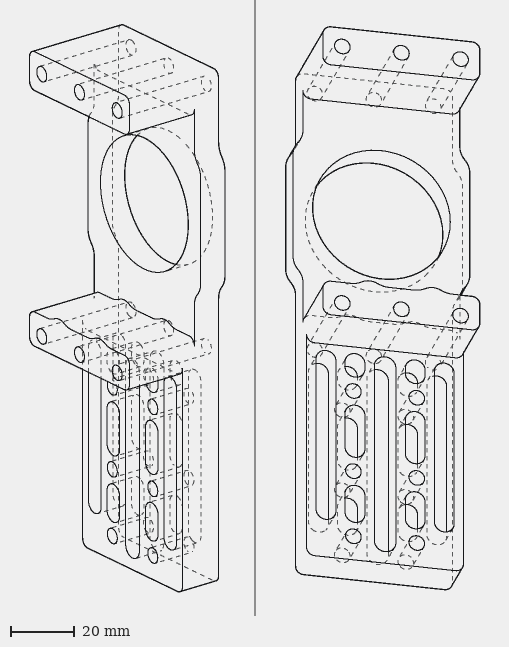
import cadquery as cq
import math

height = 173.6
body_width = 50.7
wing_width = 57.1
depth = 35.6
plate_thickness = 9.7
base_thickness = 14.4
corner_radius = 2.6

upper_arm_bottom = 160.5
lower_arm_bottom = 73.8
lower_arm_top = 85.5
bump_height = 1.5
bump_radius = 5.2
bump_blend_radius = 7.8

bore_diameter = 44.5
bore_z = 123.0
wing_flat_length = 35.5
wing_blend_length = 8.7

hole_diameter = 5.0
arm_hole_pitch = 19.1
upper_hole_z = 167.2
lower_hole_z = 78.3
base_hole_offset = 10.2
base_hole_heights = (8.2, 30.7, 58.5)

slot_depth = 9.7
slot_top = 71.5
slot_hole_gap = 4.9
slot_width = 6.5
outer_slot_offset = 19.1
outer_slot_bottom = base_hole_heights[0] + slot_hole_gap
center_slot_width = 7.0
center_slot_bottom = 4.0
short_slot_offset = 9.7
short_slot_bottoms = [z + slot_hole_gap for z in base_hole_heights]
short_slot_tops = [z - slot_hole_gap for z in base_hole_heights[1:]] + [slot_top]


def block(width, bottom, top, thickness):
    """Block standing on the back face, centered on X = 0, with its front at Y = -thickness."""
    return (
        cq.Workplane("XZ")
        .center(0, (bottom + top) / 2)
        .rect(width, top - bottom)
        .extrude(thickness)
    )


def wings():
    """Wide stretch around the bore, blended into the plate sides by S-curves of two equal arcs."""
    step = (wing_width - body_width) / 2
    half_blend = wing_blend_length / 2
    radius = (half_blend**2 + (step / 2) ** 2) / step
    inner_x = body_width / 2
    middle_x = inner_x + step / 2
    outer_x = wing_width / 2
    flat_z = wing_flat_length / 2
    middle_z = flat_z + half_blend
    end_z = flat_z + wing_blend_length
    return (
        cq.Workplane("XZ", origin=(0, 0, bore_z))
        .moveTo(-inner_x, end_z)
        .lineTo(inner_x, end_z)
        .radiusArc((middle_x, middle_z), -radius)
        .radiusArc((outer_x, flat_z), radius)
        .lineTo(outer_x, -flat_z)
        .radiusArc((middle_x, -middle_z), radius)
        .radiusArc((inner_x, -end_z), -radius)
        .lineTo(-inner_x, -end_z)
        .radiusArc((-middle_x, -middle_z), -radius)
        .radiusArc((-outer_x, -flat_z), radius)
        .lineTo(-outer_x, flat_z)
        .radiusArc((-middle_x, middle_z), radius)
        .radiusArc((-inner_x, end_z), -radius)
        .close()
        .extrude(plate_thickness)
    )


def bump(x):
    """Ridge on the lower arm: a convex crown with a concave blend on each side."""
    center_to_blend = bump_radius + bump_blend_radius
    rise = bump_height - bump_radius
    half_span = math.sqrt(center_to_blend**2 - (bump_blend_radius - rise) ** 2)
    touch_x = half_span * bump_radius / center_to_blend
    touch_z = rise + (bump_blend_radius - rise) * bump_radius / center_to_blend
    return (
        cq.Workplane("XZ", origin=(x, -plate_thickness, lower_arm_top))
        .moveTo(-half_span, 0)
        .radiusArc((-touch_x, touch_z), -bump_blend_radius)
        .radiusArc((touch_x, touch_z), bump_radius)
        .radiusArc((half_span, 0), -bump_blend_radius)
        .close()
        .extrude(depth - plate_thickness)
    )


def holes(points):
    """Screw holes along Y through the whole depth."""
    return cq.Workplane("XZ").pushPoints(points).circle(hole_diameter / 2).extrude(depth)


def slot(x, bottom, top, width):
    """Round-ended vertical slot sunk into the front face of the base."""
    return (
        cq.Workplane("XZ", origin=(x, slot_depth - base_thickness, (bottom + top) / 2))
        .slot2D(top - bottom, width, 90)
        .extrude(slot_depth)
    )


plate = block(body_width, 0, height, plate_thickness).edges("|Y").fillet(corner_radius)
base = block(body_width, 0, lower_arm_top - corner_radius, base_thickness)
base = base.edges("|Y and <Z").fillet(corner_radius)
upper_arm = block(body_width, upper_arm_bottom, height, depth).edges("|Y").fillet(corner_radius)
lower_arm = block(body_width, lower_arm_bottom, lower_arm_top, depth).edges("|Y").fillet(corner_radius)
result = plate.union(base).union(upper_arm).union(lower_arm).union(wings())

for side in (-1, 1):
    result = result.union(bump(side * base_hole_offset))

bore = cq.Workplane("XZ", origin=(0, 0, bore_z)).circle(bore_diameter / 2).extrude(depth)
result = result.cut(bore)

arm_points = [
    (column * arm_hole_pitch, z) for column in (-1, 0, 1) for z in (upper_hole_z, lower_hole_z)
]
base_points = [(side * base_hole_offset, z) for side in (-1, 1) for z in base_hole_heights]
result = result.cut(holes(arm_points + base_points))

result = result.cut(slot(0, center_slot_bottom, slot_top, center_slot_width))
for side in (-1, 1):
    result = result.cut(slot(side * outer_slot_offset, outer_slot_bottom, slot_top, slot_width))
    for bottom, top in zip(short_slot_bottoms, short_slot_tops):
        result = result.cut(slot(side * short_slot_offset, bottom, top, slot_width))